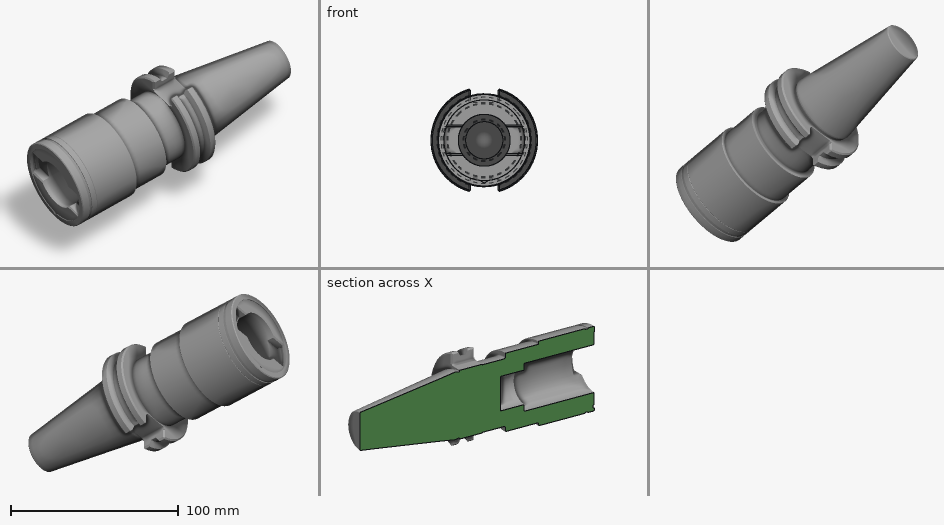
import cadquery as cq
import math

total_length = 168.2

tail_radius = 12.6
tail_chamfer = 0.5
shank_radius = 22.2
gauge_line_y = 100.0
relief_start_y = 97.6
relief_end_y = 99.1
relief_depth = 0.5

flange_radius = 31.8
flange_front_y = 80.6
flange_width = 16.3
flange_chamfer = 0.8
v_groove_radius = 28.3
v_groove_floor_width = 3.7
v_flank_angle = 30.0

slot_width = 16.2
slot_floor_z = 22.5
slot_chamfer = 1.0
slot_corner_radius = 1.0

neck_front_y = 64.1
neck_fillet = 0.8
body_radius = 25.7
collar_rear_y = 40.5
collar_radius = 27.8
collar_chamfer = 0.3
nose_chamfer = 0.5
ring_groove_front_y = 5.0
ring_groove_rear_y = 6.9
ring_groove_depth = 0.5
joint_y = 10.6
joint_half_width = 0.2
joint_depth = 0.2

recess_radius = 24.0
recess_depth = 0.5
bore_radius = 15.5
bore_depth = 50.5
inner_bore_radius = 11.1
inner_bore_depth = 67.3
key_slot_width = 16.7
key_slot_depth = 5.5
key_slot_chamfer = 0.8
key_slot_corner_chamfer = 0.3
snap_groove_front_y = 2.0
snap_groove_rear_y = 3.7
snap_groove_depth = 0.7

mark_outer_radius = 25.5
mark_half_width = 2.5
mark_depth = 1.0


def cylinder(radius, start_y, length):
    """Solid cylinder on the Y axis, running from start_y toward +Y."""
    return cq.Workplane("XZ", origin=(0, start_y, 0)).circle(radius).extrude(-length)


def turned_body():
    """Chuck body, neck, flange and taper shank, revolved about Y."""
    flange_rear_y = flange_front_y + flange_width
    flange_mid_y = flange_front_y + flange_width / 2
    floor_half = v_groove_floor_width / 2
    flank_run = (flange_radius - v_groove_radius) * math.tan(math.radians(v_flank_angle))
    mouth_half = floor_half + flank_run
    groove_radius = collar_radius - ring_groove_depth
    relief_radius = shank_radius - relief_depth
    fillet_mid = neck_fillet * (1 - math.sqrt(0.5))
    profile = (
        cq.Workplane("XY")
        .moveTo(0, 0)
        .lineTo(collar_radius - nose_chamfer, 0)
        .lineTo(collar_radius, nose_chamfer)
        .lineTo(collar_radius, ring_groove_front_y)
        .lineTo(groove_radius, ring_groove_front_y)
        .lineTo(groove_radius, ring_groove_rear_y)
        .lineTo(collar_radius, ring_groove_rear_y)
        .lineTo(collar_radius, joint_y - joint_half_width)
        .lineTo(collar_radius - joint_depth, joint_y)
        .lineTo(collar_radius, joint_y + joint_half_width)
        .lineTo(collar_radius, collar_rear_y - collar_chamfer)
        .lineTo(collar_radius - collar_chamfer, collar_rear_y)
        .lineTo(body_radius, collar_rear_y)
        .lineTo(body_radius, neck_front_y)
        .lineTo(shank_radius + neck_fillet, neck_front_y)
        .threePointArc(
            (shank_radius + fillet_mid, neck_front_y + fillet_mid),
            (shank_radius, neck_front_y + neck_fillet),
        )
        .lineTo(shank_radius, flange_front_y)
        .lineTo(flange_radius - flange_chamfer, flange_front_y)
        .lineTo(flange_radius, flange_front_y + flange_chamfer)
        .lineTo(flange_radius, flange_mid_y - mouth_half)
        .lineTo(v_groove_radius, flange_mid_y - floor_half)
        .lineTo(v_groove_radius, flange_mid_y + floor_half)
        .lineTo(flange_radius, flange_mid_y + mouth_half)
        .lineTo(flange_radius, flange_rear_y - flange_chamfer)
        .lineTo(flange_radius - flange_chamfer, flange_rear_y)
        .lineTo(relief_radius, flange_rear_y)
        .lineTo(relief_radius, relief_start_y)
        .lineTo(shank_radius, relief_end_y)
        .lineTo(shank_radius, gauge_line_y)
        .lineTo(tail_radius, total_length - tail_chamfer)
        .lineTo(tail_radius - tail_chamfer, total_length)
        .lineTo(0, total_length)
        .close()
    )
    return profile.revolve(360, (0, 0, 0), (0, 1, 0))


def land_edge_chamfer(side):
    """Cutter that chamfers the outer edge of one drive slot wall; side is -1 or 1 along X."""
    wall_x = slot_width / 2
    edge_z = math.sqrt(flange_radius**2 - (wall_x + slot_chamfer) ** 2)
    points = [
        (side * wall_x, edge_z - slot_chamfer),
        (side * (wall_x + slot_chamfer), edge_z),
        (side * (wall_x + slot_chamfer), flange_radius),
        (side * wall_x, flange_radius),
    ]
    return (
        cq.Workplane("XZ", origin=(0, flange_front_y, 0))
        .polyline(points)
        .close()
        .extrude(-flange_width)
    )


def drive_slot():
    """Cutter for the +Z drive slot: rounded floor corners, chamfered front, rear and outer edges."""
    half = slot_width / 2
    mouth = half + slot_chamfer
    front_y = flange_front_y
    rear_y = flange_front_y + flange_width
    height = flange_radius - slot_floor_z
    channel = (
        cq.Workplane("XY", origin=(0, front_y, slot_floor_z))
        .box(slot_width, flange_width, height, centered=(True, False, False))
        .edges("|Y and <Z")
        .fillet(slot_corner_radius)
    )
    flare_plan = [
        (-mouth, front_y),
        (mouth, front_y),
        (half, front_y + slot_chamfer),
        (half, rear_y - slot_chamfer),
        (mouth, rear_y),
        (-mouth, rear_y),
        (-half, rear_y - slot_chamfer),
        (-half, front_y + slot_chamfer),
    ]
    flare = (
        cq.Workplane("XY", origin=(0, 0, slot_floor_z + slot_corner_radius))
        .polyline(flare_plan)
        .close()
        .extrude(height - slot_corner_radius)
    )
    slot = channel.union(flare)
    for side in (-1, 1):
        slot = slot.union(land_edge_chamfer(side))
    return slot


def stepped_bore():
    """Cutter for the shallow nose recess and the two bores behind it."""
    recess = cylinder(recess_radius, 0, recess_depth)
    bore = cylinder(bore_radius, 0, bore_depth)
    inner_bore = cylinder(inner_bore_radius, 0, inner_bore_depth)
    return recess.union(bore).union(inner_bore)


def key_slots():
    """Cutter for the two key slots along X, with a snap-ring groove in their outer end walls."""
    half = key_slot_width / 2
    mouth = half + key_slot_chamfer
    floor_half = half - key_slot_corner_chamfer
    chamfer_y = recess_depth + key_slot_chamfer
    floor_y = recess_depth + key_slot_depth
    corner_y = floor_y - key_slot_corner_chamfer
    groove_radius = recess_radius + snap_groove_depth
    section = [
        (recess_depth, -mouth),
        (chamfer_y, -half),
        (corner_y, -half),
        (floor_y, -floor_half),
        (floor_y, floor_half),
        (corner_y, half),
        (chamfer_y, half),
        (recess_depth, mouth),
    ]
    bar = cq.Workplane("YZ").polyline(section).close().extrude(groove_radius, both=True)
    slot_envelope = cylinder(recess_radius, 0, floor_y)
    groove = cylinder(groove_radius, snap_groove_front_y, snap_groove_rear_y - snap_groove_front_y)
    return bar.intersect(slot_envelope.union(groove))


def index_mark():
    """Cutter for the small V notch at the bottom of the nose rim."""
    mouth_z = -math.sqrt(recess_radius**2 - mark_half_width**2)
    points = [(-mark_half_width, mouth_z), (mark_half_width, mouth_z), (0, -mark_outer_radius)]
    return cq.Workplane("XZ").polyline(points).close().extrude(-mark_depth)


result = turned_body()
for turn in (0, 180):
    result = result.cut(drive_slot().rotate((0, 0, 0), (0, 1, 0), turn))
result = result.cut(stepped_bore()).cut(key_slots()).cut(index_mark())